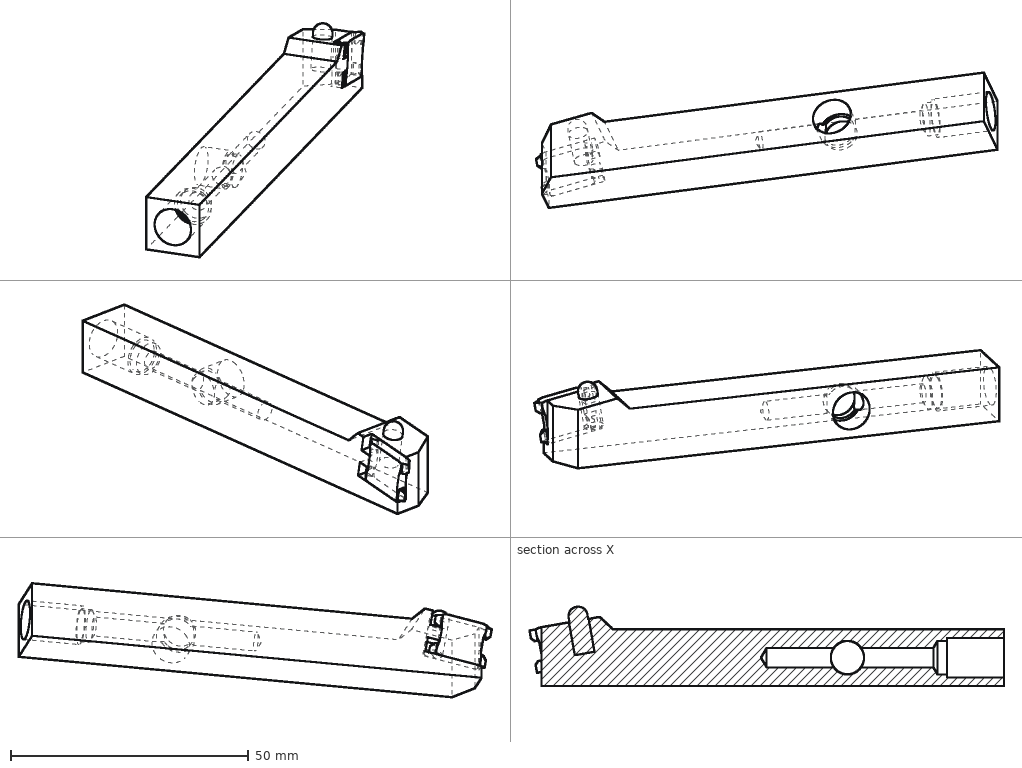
import cadquery as cq
import math

SHANK_SIZE = 12.0
HALF_SIZE = SHANK_SIZE / 2
FRONT_Y = 97.5

HEAD_SLOPE = 10.0
RAMP_FOOT_Y = 82.4
RIDGE_Y = 85.2
RIDGE_Z = 14.6
CORNER_CUT_X = 6.0
CORNER_CUT_Y = 3.5

THREAD_DIAMETER = 8.2
TAP_DRILL_DIAMETER = 7.0
DRILL_POINT_ANGLE = 118.0
REAR_THREAD_DEPTH = 12.0
REAR_DRILL_DEPTH = 14.0
SIDE_PORT_Y = 33.0
SIDE_THREAD_DEPTH = 6.0
SIDE_DRILL_DEPTH = 8.0
CHANNEL_DIAMETER = 4.0
CHANNEL_DEPTH = 50.0

PIN_DIAMETER = 4.1
PIN_RADIUS = PIN_DIAMETER / 2
PIN_Y = 89.6
PIN_TOP_Z = 16.8
PIN_SEAT_DEPTH = 7.0

INSERT_TIP_Y = 100.0
INSERT_THICKNESS = 2.4
INSERT_HEIGHT = 9.6
INSERT_TIP_SPAN = 12.3
RAKE_DROP = 0.25
RAKE_RUN = 1.0
SHOULDER_INSET = 1.3
SHOULDER_DEPTH = 1.6
WAIST_INSET = 1.6
WAIST_DEPTH = 3.3
TOOTH_WIDTH = 1.6
TOOTH_DEPTH = 2.7
TOOTH_CHAMFER = 0.7
TOOTH_CLEARANCE = 1.0

HALF_SPAN = INSERT_TIP_SPAN / 2
HALF_HEIGHT = INSERT_HEIGHT / 2
RAKE_V = HALF_HEIGHT - RAKE_DROP
SHOULDER_U = HALF_SPAN - SHOULDER_INSET
WAIST_U = HALF_SPAN - WAIST_INSET
WAIST_V = HALF_HEIGHT - WAIST_DEPTH

SLOPE_SIN = math.sin(math.radians(HEAD_SLOPE))
SLOPE_COS = math.cos(math.radians(HEAD_SLOPE))


def slope_z(y):
    """Height of the sloping head top at a given y."""
    return RIDGE_Z - (y - RIDGE_Y) * SLOPE_SIN / SLOPE_COS


def insert_frame():
    """Plane on the pocket's side wall at the insert centre, with axes u and v and its normal along +X."""
    top_y = INSERT_TIP_Y - HALF_SPAN * SLOPE_COS + RAKE_DROP * SLOPE_SIN
    center_y = top_y - HALF_HEIGHT * SLOPE_SIN
    center_z = slope_z(top_y) - HALF_HEIGHT * SLOPE_COS
    wall_x = HALF_SIZE - INSERT_THICKNESS
    frame = cq.Plane(origin=(wall_x, center_y, center_z), xDir=(0, 1, 0), normal=(1, 0, 0))
    return frame.rotated((0, 0, -HEAD_SLOPE))


def pin_frame():
    """Plane on the head slope at the pin axis, with its normal along the pin."""
    return cq.Plane(origin=(0, PIN_Y, slope_z(PIN_Y)), xDir=(1, 0, 0), normal=(0, SLOPE_SIN, SLOPE_COS))


def block(u_min, u_max, v_min, v_max):
    """Box as thick as the insert, spanning the given u and v ranges in the insert frame."""
    size_u = u_max - u_min
    size_v = v_max - v_min
    return (
        cq.Workplane(insert_frame())
        .center((u_min + u_max) / 2, (v_min + v_max) / 2)
        .rect(size_u, size_v)
        .extrude(INSERT_THICKNESS)
    )



def make_holder_blank():
    side = [
        (0, 0),
        (FRONT_Y, 0),
        (FRONT_Y, slope_z(FRONT_Y)),
        (RIDGE_Y, RIDGE_Z),
        (RAMP_FOOT_Y, SHANK_SIZE),
        (0, SHANK_SIZE),
    ]
    blank = cq.Workplane("YZ").polyline(side).close().extrude(HALF_SIZE, both=True)
    corner = [
        (-HALF_SIZE, FRONT_Y),
        (CORNER_CUT_X - HALF_SIZE, FRONT_Y),
        (-HALF_SIZE, FRONT_Y - CORNER_CUT_Y),
    ]
    return blank.cut(cq.Workplane("XY").polyline(corner).close().extrude(RIDGE_Z))


def drill(diameter, depth):
    """Round cutter along +Z from the origin, with a conical point past its full-diameter depth."""
    radius = diameter / 2
    point = radius / math.tan(math.radians(DRILL_POINT_ANGLE / 2))
    profile = [(0, 0), (radius, 0), (radius, depth), (0, depth + point)]
    return cq.Workplane("XZ").polyline(profile).close().revolve(360, (0, 0, 0), (0, 1, 0))


def port(thread_depth, drill_depth):
    """Cutter along +Z for a tapped hole: the thread, then the narrower tap drill."""
    thread = cq.Workplane("XY").circle(THREAD_DIAMETER / 2).extrude(thread_depth)
    return drill(TAP_DRILL_DIAMETER, drill_depth).union(thread)


def coolant_passages():
    rear = port(REAR_THREAD_DEPTH, REAR_DRILL_DEPTH).union(drill(CHANNEL_DIAMETER, CHANNEL_DEPTH))
    rear = rear.rotate((0, 0, 0), (1, 0, 0), -90).translate((0, 0, HALF_SIZE))
    side = port(SIDE_THREAD_DEPTH, SIDE_DRILL_DEPTH)
    side = side.rotate((0, 0, 0), (0, 1, 0), 90).translate((-HALF_SIZE, SIDE_PORT_Y, HALF_SIZE))
    return rear.union(side)


def insert_pocket():
    """Seat against the insert's rear waist, with a notch behind each rear tooth."""
    open_u = HALF_SPAN
    open_v = HALF_HEIGHT + RAKE_DROP
    notch_u = -HALF_SPAN - TOOTH_CLEARANCE
    seat = block(-WAIST_U, open_u, -HALF_HEIGHT, open_v)
    upper_notch = block(notch_u, -WAIST_U, WAIST_V, open_v)
    lower_notch = block(notch_u, -WAIST_U, -HALF_HEIGHT, -WAIST_V)
    return seat.union(upper_notch).union(lower_notch)


def pin_hole():
    return cq.Workplane(pin_frame()).circle(PIN_RADIUS).extrude(-PIN_SEAT_DEPTH)


def make_holder():
    return make_holder_blank().cut(coolant_passages()).cut(insert_pocket()).cut(pin_hole())



def make_insert_body():
    corner = [
        (SHOULDER_U - RAKE_RUN, HALF_HEIGHT),
        (SHOULDER_U, RAKE_V),
        (SHOULDER_U, HALF_HEIGHT - SHOULDER_DEPTH),
        (WAIST_U, WAIST_V),
    ]
    front_end = corner + [(u, -v) for u, v in reversed(corner)]
    rear_end = [(-u, -v) for u, v in front_end]
    return cq.Workplane("XY").polyline(front_end + rear_end).close().extrude(INSERT_THICKNESS)


def make_tooth():
    """Pointed tooth at the upper front corner: a side outline trimmed to a V seen from above."""
    bottom_v = HALF_HEIGHT - TOOTH_DEPTH
    side = [
        (WAIST_U, RAKE_V),
        (HALF_SPAN, RAKE_V),
        (HALF_SPAN, bottom_v + TOOTH_CHAMFER),
        (HALF_SPAN - TOOTH_CHAMFER, bottom_v),
        (WAIST_U, bottom_v),
    ]
    slab = cq.Workplane("XY").polyline(side).close().extrude(INSERT_THICKNESS)
    middle = INSERT_THICKNESS / 2
    near = middle - TOOTH_WIDTH / 2
    far = middle + TOOTH_WIDTH / 2
    point = [(WAIST_U, near), (SHOULDER_U, near), (HALF_SPAN, middle), (SHOULDER_U, far), (WAIST_U, far)]
    wedge = cq.Workplane("XZ").polyline(point).close().extrude(HALF_HEIGHT, both=True)
    return slab.intersect(wedge)


def make_insert():
    upper_front = make_tooth()
    lower_front = upper_front.mirror("XZ")
    insert = make_insert_body()
    for tooth in (upper_front, lower_front):
        insert = insert.union(tooth).union(tooth.mirror("YZ"))
    return cq.Workplane(insert.val().moved(cq.Location(insert_frame())))



def make_pin():
    ball_height = (PIN_TOP_Z - PIN_RADIUS - slope_z(PIN_Y)) / SLOPE_COS
    stem = (
        cq.Workplane(pin_frame())
        .workplane(offset=-PIN_SEAT_DEPTH)
        .circle(PIN_RADIUS)
        .extrude(PIN_SEAT_DEPTH + ball_height)
    )
    ball = (
        cq.Workplane(pin_frame())
        .workplane(offset=ball_height)
        .sphere(PIN_RADIUS, direct=(1, 0, 0))
    )
    return stem.union(ball)


holder = make_holder()
insert = make_insert()
pin = make_pin()

result = cq.Compound.makeCompound([holder.val(), insert.val(), pin.val()])